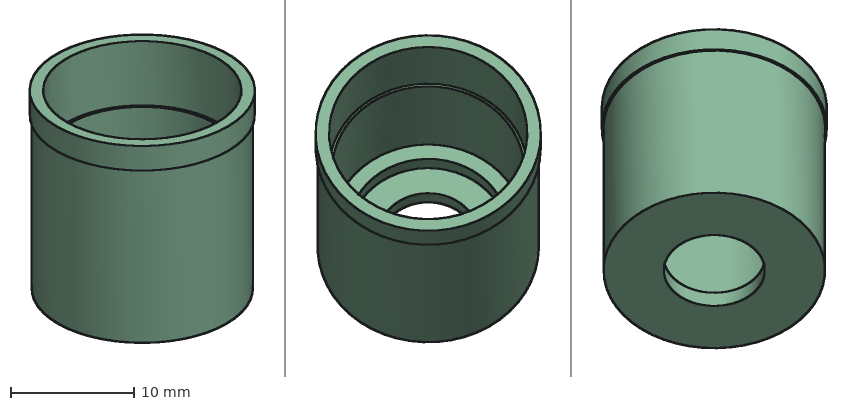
import cadquery as cq

total_height = 18.5
body_diameter = 18.0
collar_diameter = 18.3
collar_height = 2.3

mouth_diameter = 16.1
mouth_depth = 6.0
chamber_diameter = 15.6
chamber_depth = 15.5
recess_diameter = 12.9
recess_depth = 17.0
outlet_diameter = 8.2


def make_sleeve():
    """Plain cylinder standing on Z = 0 with a slightly wider collar at its top."""
    body = cq.Workplane("XY").circle(body_diameter / 2).extrude(total_height)
    collar = (
        cq.Workplane("XY")
        .workplane(offset=total_height - collar_height)
        .circle(collar_diameter / 2)
        .extrude(collar_height)
    )
    return body.union(collar)


def bore_from_top(diameter, depth):
    """Cylinder on the part axis reaching the given depth below the top face."""
    return (
        cq.Workplane("XY")
        .workplane(offset=total_height - depth)
        .circle(diameter / 2)
        .extrude(depth)
    )


bore_steps = [
    (mouth_diameter, mouth_depth),
    (chamber_diameter, chamber_depth),
    (recess_diameter, recess_depth),
    (outlet_diameter, total_height),
]

result = make_sleeve()
for step_diameter, step_depth in bore_steps:
    result = result.cut(bore_from_top(step_diameter, step_depth))